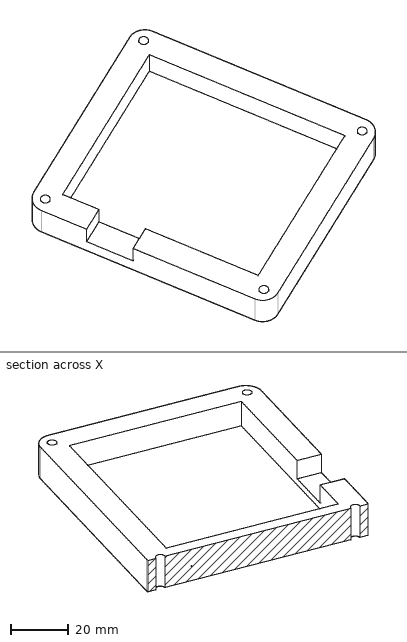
import cadquery as cq

length = 95.6
width = 86.0
height = 13.0
corner_radius = 6.0

wall = 9.5
floor_thickness = 3.0
pocket_length = length - 2 * wall
pocket_width = width - 2 * wall

hole_diameter = 3.4
hole_inset = 5.0

notch_width = 18.2
notch_depth = 7.5
notch_center_x = -15.0


def make_block():
    """Rounded block, centred in X and Y, standing on Z = 0."""
    block = cq.Workplane("XY").box(length, width, height, centered=(True, True, False))
    return block.edges("|Z").fillet(corner_radius)


def make_pocket():
    """Volume removed above the pocket floor."""
    return (
        cq.Workplane("XY")
        .workplane(offset=floor_thickness)
        .rect(pocket_length, pocket_width)
        .extrude(height - floor_thickness)
    )


def make_notch():
    """Volume removed from the top of the front wall, from outside to the pocket."""
    corner = (notch_center_x - notch_width / 2, -width / 2, height - notch_depth)
    return cq.Workplane("XY").box(notch_width, wall, notch_depth, centered=False).translate(corner)


def make_screw_holes():
    """Four vertical cylinders on a rectangle centred on the block."""
    return (
        cq.Workplane("XY")
        .rect(length - 2 * hole_inset, width - 2 * hole_inset, forConstruction=True)
        .vertices()
        .circle(hole_diameter / 2)
        .extrude(height)
    )


result = make_block().cut(make_pocket()).cut(make_notch()).cut(make_screw_holes())